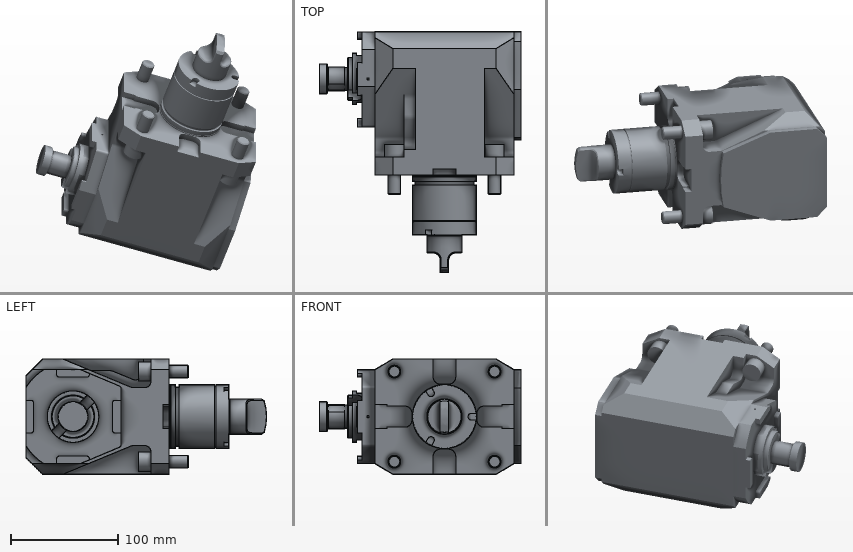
import cadquery as cq
import math


HALF_WIDTH = 65.0
HALF_HEIGHT = 54.0
DEPTH = 133.8
BACK_CHAMFER = 15.7
BEVEL_WIDTH = 16.9
SIDE_HEIGHT = 43.8
FLANGE_THICKNESS = 16.9

POCKET_INNER = 37.5
POCKET_TOP_Y = 99.5
POCKET_SLOPE_ANGLE = 22.5
POCKET_FLOOR_Z = 27.0
POCKET_FILLET = 6.3
RIB_POCKET_INNER = 27.0
RIB_POCKET_END_Y = 24.0
RIB_TOP_Z = 43.0
RIB_TOP_FRONT_Y = 53.7
RIB_TOP_FILLET = 10.0
RIB_END_FILLET = 7.5

SCREW_X = 46.8
SCREW_Z = 42.0
SCREW_HEAD_DIAMETER = 18.0
SCREW_HEAD_HEIGHT = 11.7
SCREW_DIAMETER = 12.0
SCREW_REACH = 18.2
SCREW_CHAMFER = 1.0

KEYWAY_DEPTH = 5.8
KEYWAY_INNER = 30.3
KEYWAY_CORNER = 6.7
UPRIGHT_KEYWAY_WIDTH = 21.1
LEVEL_KEYWAY_WIDTH = 19.8
LEVEL_KEYWAY_MOUTH_WIDTH = 22.5
LEVEL_KEYWAY_MOUTH_LENGTH = 11.5

NOSE_DIAMETER = 59.8
NOSE_GROOVE_DIAMETER = 55.3
NOSE_GROOVE_START = 5.8
NOSE_GROOVE_END = 9.5
SEAL_GROOVE_START = 1.0
SEAL_GROOVE_END = 1.8
SEAL_GROOVE_DIAMETER = 58.5
NUT_START = 43.5
NUT_GAP = 1.1
NUT_GAP_DIAMETER = 57.5
NUT_DIAMETER = 59.8
NUT_END = 55.8
NUT_NOTCH_COUNT = 3
NUT_NOTCH_WIDTH = 6.3
NUT_NOTCH_RADIUS = 25.2
NUT_NOTCH_DEPTH = 4.5

TANG_DIAMETER = 33.0
TANG_END = 91.0
TANG_ARC_START = 88.8
TANG_ARC_HALF = 14.5
TANG_EDGE_START = 86.3
TANG_THICKNESS = 7.9
TANG_SHOULDER = 72.8
TANG_FILLET = 6.5
TANG_EDGE_CHAMFER = 1.0
TANG_NECK_DIAMETER = 32.1
TANG_NECK_LENGTH = 1.1

PLATE_FACE_X = -77.0
PLATE_FRONT_Y = 44.7
PLATE_SLOPE_TOP_Y = 82.7
PLATE_SLOPE_END_Z = 27.9
PLATE_FRONT_FILLET = 3.0
PLATE_BACK_RADIUS = 51.7
KEY_PROJECTION = 4.3
KEY_LENGTH = 30.5
KEY_WIDTH = 7.0
FRONT_KEY_WIDTH = 8.0
KEY_CORNER = 2.5
PIN_HOLE_DIAMETER = 2.1
PIN_HOLE_DEPTH = 4.5
PIN_HOLE_X = -71.3

SHAFT_Y = 89.7
PLATE_BACK_Y = SHAFT_Y + SIDE_HEIGHT
SHAFT_END_X = -116.7
SHAFT_HEAD_INNER_X = -109.3
SHAFT_HEAD_DIAMETER = 28.0
SHAFT_HEAD_CHAMFER = 0.7
SHAFT_NECK_DIAMETER = 21.8
SHAFT_LAND_START_X = -108.1
SHAFT_LAND_END_X = -93.5
SHAFT_LAND_DIAMETER = 22.7
SHAFT_FLAT_DISTANCE = 10.5
COLLAR_X = -90.4
COLLAR_DIAMETER = 40.2
COLLAR_CHAMFER = 0.7
RING_X = -85.9
RING_DIAMETER = 48.0
HUB_X = -82.0
HUB_FLAT_DISTANCE = 22.0
DRIVE_SLOT_WIDTH = 9.7
DRIVE_SLOT_ANGLE = 45

COVER_THICKNESS = 6.5
COVER_BACK_CHAMFER = 9.2
COVER_SLOPE_TOP_Y = 80.0
COVER_ARC_START_Y = 35.0
COVER_ARC_START_Z = 26.8
COVER_FRONT_Y = 32.5


def cylinder_x(x_start, x_end, diameter):
    """Cylinder on the drive shaft axis."""
    plane = cq.Workplane("YZ", origin=(x_start, SHAFT_Y, 0))
    return plane.circle(diameter / 2).extrude(x_end - x_start)


def cylinder_y(start, end, diameter):
    """Cylinder on the spindle axis, between two distances in front of the mounting face."""
    plane = cq.Workplane("XZ", origin=(0, -start, 0))
    return plane.circle(diameter / 2).extrude(end - start)


def box(x_range, y_range, z_range):
    size = [end - start for start, end in (x_range, y_range, z_range)]
    corner = (x_range[0], y_range[0], z_range[0])
    return cq.Workplane("XY").box(*size, centered=False).translate(corner)


def make_housing():
    bevel_x = HALF_WIDTH - BEVEL_WIDTH
    right_outline = [
        (bevel_x, HALF_HEIGHT), (HALF_WIDTH, SIDE_HEIGHT),
        (HALF_WIDTH, -SIDE_HEIGHT), (bevel_x, -HALF_HEIGHT),
    ]
    front_outline = right_outline + [(-x, z) for x, z in reversed(right_outline)]
    block = cq.Workplane("XZ").polyline(front_outline).close().extrude(-DEPTH)
    chamfer_y = DEPTH - BACK_CHAMFER
    chamfer_z = HALF_HEIGHT - BACK_CHAMFER
    side_outline = [
        (0, HALF_HEIGHT), (chamfer_y, HALF_HEIGHT), (DEPTH, chamfer_z),
        (DEPTH, -chamfer_z), (chamfer_y, -HALF_HEIGHT), (0, -HALF_HEIGHT),
    ]
    chamfered = cq.Workplane("YZ").polyline(side_outline).close().extrude(HALF_WIDTH, both=True)
    return block.intersect(chamfered)


def slope_run(drop):
    """Length in Y over which the pocket slope falls by the given height."""
    return drop / math.tan(math.radians(POCKET_SLOPE_ANGLE))


def make_corner_pocket():
    """Sloped pocket of the corner at +X, +Z."""
    floor_y = POCKET_TOP_Y - slope_run(HALF_HEIGHT - POCKET_FLOOR_Z)
    outline = [
        (POCKET_TOP_Y, HALF_HEIGHT), (floor_y, POCKET_FLOOR_Z),
        (FLANGE_THICKNESS, POCKET_FLOOR_Z), (FLANGE_THICKNESS, HALF_HEIGHT),
    ]
    plane = cq.Workplane("YZ", origin=(POCKET_INNER, 0, 0))
    pocket = plane.polyline(outline).close().extrude(HALF_WIDTH - POCKET_INNER)
    return pocket.edges("|X and <Z").fillet(POCKET_FILLET)


def make_rib_pocket():
    """Stepped pocket beside the upper -X corner pocket; its floor stands above the slope as a rib."""
    rib_back_y = POCKET_TOP_Y - slope_run(HALF_HEIGHT - RIB_TOP_Z)
    slope = math.tan(math.radians(POCKET_SLOPE_ANGLE))
    rib_low_z = RIB_TOP_Z - (RIB_TOP_FRONT_Y - RIB_POCKET_END_Y) * slope
    outline = [
        (POCKET_TOP_Y, HALF_HEIGHT), (rib_back_y, RIB_TOP_Z), (RIB_TOP_FRONT_Y, RIB_TOP_Z),
        (RIB_POCKET_END_Y, rib_low_z), (RIB_POCKET_END_Y, HALF_HEIGHT),
    ]
    plane = cq.Workplane("YZ", origin=(-POCKET_INNER, 0, 0))
    pocket = plane.polyline(outline).close().extrude(POCKET_INNER - RIB_POCKET_INNER)
    pocket = pocket.edges("|X and <Z").fillet(RIB_END_FILLET)
    rib_top_edges = pocket.faces("|Z").faces("<Z").edges("|X")
    return rib_top_edges.fillet(RIB_TOP_FILLET)


def make_keyway(outer, width):
    """Keyway of the mounting face running from the spindle to the +X edge, with a rounded inner end."""
    slot = box((KEYWAY_INNER, outer), (0, KEYWAY_DEPTH), (-width / 2, width / 2))
    return slot.edges("|Y and <X").fillet(KEYWAY_CORNER)


def cut_keyways(body):
    mouth_x = HALF_WIDTH - LEVEL_KEYWAY_MOUTH_LENGTH
    mouth_half = LEVEL_KEYWAY_MOUTH_WIDTH / 2
    mouth = box((mouth_x, HALF_WIDTH), (0, KEYWAY_DEPTH), (-mouth_half, mouth_half))
    level = make_keyway(HALF_WIDTH, LEVEL_KEYWAY_WIDTH).union(mouth)
    upright = make_keyway(HALF_HEIGHT, UPRIGHT_KEYWAY_WIDTH).rotate((0, 0, 0), (0, 1, 0), 90)
    for keyway in (level, upright):
        body = body.cut(keyway).cut(keyway.rotate((0, 0, 0), (0, 1, 0), 180))
    return body


def make_screw():
    plane = cq.Workplane("XZ", origin=(SCREW_X, FLANGE_THICKNESS, SCREW_Z))
    head = plane.circle(SCREW_HEAD_DIAMETER / 2).extrude(-SCREW_HEAD_HEIGHT)
    shank = plane.circle(SCREW_DIAMETER / 2).extrude(FLANGE_THICKNESS + SCREW_REACH)
    return head.union(shank.faces("<Y").chamfer(SCREW_CHAMFER))


def four_corners(solid):
    """Copies of a +X, +Z corner solid in all four corners."""
    upper = [solid, solid.mirror("YZ")]
    return upper + [copy.mirror("XY") for copy in upper]


def make_nose():
    nose = cylinder_y(-KEYWAY_DEPTH, SEAL_GROOVE_START, NOSE_DIAMETER)
    nose = nose.union(cylinder_y(SEAL_GROOVE_START, SEAL_GROOVE_END, SEAL_GROOVE_DIAMETER))
    nose = nose.union(cylinder_y(SEAL_GROOVE_END, NOSE_GROOVE_START, NOSE_DIAMETER))
    nose = nose.union(cylinder_y(NOSE_GROOVE_START, NOSE_GROOVE_END, NOSE_GROOVE_DIAMETER))
    nose = nose.union(cylinder_y(NOSE_GROOVE_END, NUT_START - NUT_GAP, NOSE_DIAMETER))
    nose = nose.union(cylinder_y(NUT_START - NUT_GAP, NUT_START, NUT_GAP_DIAMETER))
    nut = cylinder_y(NUT_START, NUT_END, NUT_DIAMETER)
    notch_length = NUT_DIAMETER / 2
    notch = (
        cq.Workplane("XZ", origin=(NUT_NOTCH_RADIUS + notch_length / 2, -NUT_END, 0))
        .slot2D(notch_length + NUT_NOTCH_WIDTH, NUT_NOTCH_WIDTH)
        .extrude(-NUT_NOTCH_DEPTH)
    )
    for index in range(NUT_NOTCH_COUNT):
        nut = nut.cut(notch.rotate((0, 0, 0), (0, 1, 0), index * 360 / NUT_NOTCH_COUNT))
    return nose.union(nut)


def make_tang():
    """Round stub with a domed end, thinned to a flat tang by a filleted cut on both sides."""
    radius = TANG_DIAMETER / 2
    dome_drop = TANG_END - TANG_ARC_START
    dome_radius = (TANG_ARC_HALF ** 2 + dome_drop ** 2) / (2 * dome_drop)
    half_x = TANG_ARC_HALF / 2
    dome_middle = (half_x, -TANG_END + dome_radius - math.sqrt(dome_radius ** 2 - half_x ** 2))
    stub = (
        cq.Workplane("XY")
        .moveTo(0, -NUT_END)
        .lineTo(TANG_NECK_DIAMETER / 2, -NUT_END)
        .lineTo(radius, -NUT_END - TANG_NECK_LENGTH)
        .lineTo(radius, -TANG_EDGE_START)
        .lineTo(TANG_ARC_HALF, -TANG_ARC_START)
        .threePointArc(dome_middle, (0, -TANG_END))
        .close()
        .revolve(360, (0, 0, 0), (0, 1, 0))
    )
    cutter = box((TANG_THICKNESS / 2, TANG_DIAMETER), (-TANG_END, -TANG_SHOULDER), (-radius, radius))
    cutter = cutter.edges("|Z and <X and >Y").fillet(TANG_FILLET)
    tang = stub.cut(cutter).cut(cutter.mirror("YZ"))
    return tang.edges("|Y").chamfer(TANG_EDGE_CHAMFER)


def plate_prism(x_start):
    """Drive plate outline, extruded from the given X to the housing."""
    arc_z = math.sqrt(PLATE_BACK_RADIUS ** 2 - SIDE_HEIGHT ** 2)
    arc_y = SHAFT_Y + arc_z
    middle_z = PLATE_BACK_RADIUS * math.sin(math.radians(45))
    middle_y = SHAFT_Y + middle_z
    outline = (
        cq.Workplane("YZ", origin=(x_start, 0, 0))
        .moveTo(PLATE_FRONT_Y, PLATE_SLOPE_END_Z)
        .lineTo(PLATE_SLOPE_TOP_Y, SIDE_HEIGHT)
        .lineTo(arc_y, SIDE_HEIGHT)
        .threePointArc((middle_y, middle_z), (PLATE_BACK_Y, arc_z))
        .lineTo(PLATE_BACK_Y, -arc_z)
        .threePointArc((middle_y, -middle_z), (arc_y, -SIDE_HEIGHT))
        .lineTo(PLATE_SLOPE_TOP_Y, -SIDE_HEIGHT)
        .lineTo(PLATE_FRONT_Y, -PLATE_SLOPE_END_Z)
        .close()
    )
    return outline.extrude(-HALF_WIDTH - x_start).edges("|X and <Y").fillet(PLATE_FRONT_FILLET)


def make_drive_plate():
    plate = plate_prism(PLATE_FACE_X)
    top_hole = cq.Workplane("XY", origin=(PIN_HOLE_X, SHAFT_Y, SIDE_HEIGHT - PIN_HOLE_DEPTH))
    front_hole = cq.Workplane("XZ", origin=(PIN_HOLE_X, PLATE_FRONT_Y + PIN_HOLE_DEPTH, 0))
    for hole in (top_hole, front_hole):
        plate = plate.cut(hole.circle(PIN_HOLE_DIAMETER / 2).extrude(PIN_HOLE_DEPTH))
    return plate


def make_plate_keys():
    """Four keys along the edges of the drive plate, rounded on the side facing the shaft."""
    key_x = (PLATE_FACE_X - KEY_PROJECTION, PLATE_FACE_X)
    along_y = (SHAFT_Y - KEY_LENGTH / 2, SHAFT_Y + KEY_LENGTH / 2)
    along_z = (-KEY_LENGTH / 2, KEY_LENGTH / 2)
    top = box(key_x, along_y, (SIDE_HEIGHT - KEY_WIDTH, SIDE_HEIGHT)).edges("|X and <Z").fillet(KEY_CORNER)
    top = top.intersect(plate_prism(PLATE_FACE_X - KEY_PROJECTION))
    back = box(key_x, (PLATE_BACK_Y - KEY_WIDTH, PLATE_BACK_Y), along_z).edges("|X and <Y").fillet(KEY_CORNER)
    front = box(key_x, (PLATE_FRONT_Y, PLATE_FRONT_Y + FRONT_KEY_WIDTH), along_z)
    front = front.edges("|X and >Y").fillet(KEY_CORNER)
    return [top, top.mirror("XY"), back, front]


def turn_on_shaft(solid):
    """Turn a solid about the drive shaft axis to the angle of the drive slot."""
    return solid.rotate((0, SHAFT_Y, 0), (1, SHAFT_Y, 0), DRIVE_SLOT_ANGLE)


def shaft_slab(x_range, half_y, half_z):
    """Box centred on the drive shaft axis."""
    return box(x_range, (SHAFT_Y - half_y, SHAFT_Y + half_y), (-half_z, half_z))


def make_drive_flange():
    """Collar, ring and four-sided hub with a round-bottomed slot across them."""
    collar = cylinder_x(COLLAR_X, RING_X, COLLAR_DIAMETER).faces("<X").chamfer(COLLAR_CHAMFER)
    ring = cylinder_x(RING_X, HUB_X, RING_DIAMETER)
    hub = cylinder_x(HUB_X, PLATE_FACE_X, RING_DIAMETER)
    hub = hub.intersect(shaft_slab((HUB_X, PLATE_FACE_X), HUB_FLAT_DISTANCE, HUB_FLAT_DISTANCE))
    slot_half = DRIVE_SLOT_WIDTH / 2
    slot_round_x = PLATE_FACE_X - slot_half
    slot_round = cq.Workplane("XY", origin=(slot_round_x, SHAFT_Y, -RING_DIAMETER / 2))
    slot = slot_round.circle(slot_half).extrude(RING_DIAMETER)
    slot = slot.union(shaft_slab((COLLAR_X, slot_round_x), slot_half, RING_DIAMETER / 2))
    return collar.union(ring).union(hub).cut(turn_on_shaft(slot))


def make_drive_shaft():
    """Shaft with two flats and a round head."""
    shaft = cylinder_x(SHAFT_HEAD_INNER_X, PLATE_FACE_X, SHAFT_NECK_DIAMETER)
    shaft = shaft.union(cylinder_x(SHAFT_LAND_START_X, SHAFT_LAND_END_X, SHAFT_LAND_DIAMETER))
    between_flats = shaft_slab((SHAFT_HEAD_INNER_X, PLATE_FACE_X), SHAFT_LAND_DIAMETER, SHAFT_FLAT_DISTANCE)
    shaft = shaft.intersect(turn_on_shaft(between_flats))
    head = cylinder_x(SHAFT_END_X, SHAFT_HEAD_INNER_X, SHAFT_HEAD_DIAMETER)
    return shaft.union(head.faces(">X").chamfer(SHAFT_HEAD_CHAMFER))


def make_cover():
    chamfer_y = DEPTH - COVER_BACK_CHAMFER
    chamfer_z = SIDE_HEIGHT - COVER_BACK_CHAMFER
    outline = (
        cq.Workplane("YZ", origin=(HALF_WIDTH, 0, 0))
        .moveTo(COVER_ARC_START_Y, COVER_ARC_START_Z)
        .lineTo(COVER_SLOPE_TOP_Y, SIDE_HEIGHT)
        .lineTo(chamfer_y, SIDE_HEIGHT)
        .lineTo(DEPTH, chamfer_z)
        .lineTo(DEPTH, -chamfer_z)
        .lineTo(chamfer_y, -SIDE_HEIGHT)
        .lineTo(COVER_SLOPE_TOP_Y, -SIDE_HEIGHT)
        .lineTo(COVER_ARC_START_Y, -COVER_ARC_START_Z)
        .threePointArc((COVER_FRONT_Y, 0), (COVER_ARC_START_Y, COVER_ARC_START_Z))
        .close()
    )
    return outline.extrude(COVER_THICKNESS)


body = make_housing()
for pocket in four_corners(make_corner_pocket()):
    body = body.cut(pocket)
body = cut_keyways(body.cut(make_rib_pocket()))

added_parts = four_corners(make_screw()) + make_plate_keys()
added_parts += [make_nose(), make_tang(), make_drive_plate(), make_drive_flange()]
added_parts += [make_drive_shaft(), make_cover()]
for added_part in added_parts:
    body = body.union(added_part)

result = body